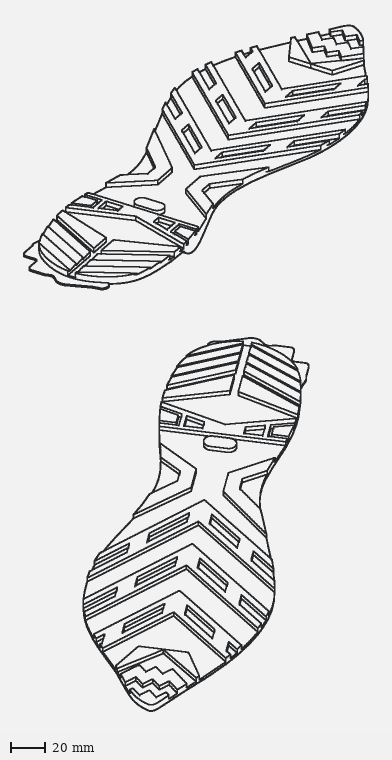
import cadquery as cq
import math

BASE_THICKNESS = 2.0
SOLE_THICKNESS = 5.0
FLASH_THICKNESS = 1.0
LUG_DEPTH = 7.5

REACH = 65.7

TOE_X = 0.3
TOE_Y = 164.3
HEEL_Y = -156.0
WIDTH = 110.0
HALF_WIDTH = WIDTH / 2
WIDEST_Y = 64.5
HALF_WAIST = 30.2
WAIST_Y = -34.5
HALF_HEEL = 40.0
HEEL_WIDEST_Y = -98.0

ZIGZAG_CENTER_X = 1.5
ZIGZAG_HALF_PITCH = 5.0
ZIGZAG_HEIGHT = 5.3
TIP_ZIGZAG_Y = 152.0
BAND_FRONT_Y = 142.2
BAND_REAR_Y = 131.5

TOE_PAD_REAR_Y = 115.5
TOE_PAD_HALF_REAR = 14.8
TOE_PAD_SIDE_RUN = 12.8
TOE_PAD_SIDE_RISE = 24.5
TOE_PAD_V_SLOPE = 0.89
TOE_PAD_WEB = 0.3

CHEVRON_APEXES_Y = (82.8, 41.5, 2.5)
CHEVRON_WIDTH = 19.0
LEFT_SLOPE = 0.915
RIGHT_SLOPE = 1.094
WINDOW_MARGIN = 5.5
WINDOW_NEAR_X = 6.5
WINDOW_FAR_X = 26.3
SIDE_WINDOW_X = 36.0

BAND_INNER_X = 9.5
BAND_OUTER_X = 18.5
BAND_INNER_Y = (-25.5, -42.0)
BAND_OUTER_Y = (-30.0, -38.5)
BAND_FRONT_SLOPE = 1.02
BAND_REAR_SLOPE = 0.735

BUTTON_Y = -67.5
BUTTON_LENGTH = 19.5
BUTTON_WIDTH = 9.2

STRAP_FRONT_Y = -74.5
STRAP_APEX_Y = -83.0
STRAP_SLOPE = 0.315
STRAP_FRONT_RIM = 3.0
STRAP_REAR_RIM = 4.0
STRAP_WINDOW_X = (12.0, 23.3)
STRAP_GROOVE_X = 26.3
STRAP_GROOVE_WIDTH = 2.0

HEEL_GROOVE_HALF = 2.45
HEEL_FRONT_Y = -113.5
HEEL_FRONT_SLOPE = 0.355
HEEL_FRONT_REAR_Y = -127.8
HEEL_SLOPE = 0.548
HEEL_STEP_Y = -132.0
STEP_SPACING = 8.0
STEP_COUNT = 3
STEP_DROP = 1.0

FLASH_REAR_Y = -164.3

LUG_INNER_X = 30.0
LUG_INNER_REAR_X = 39.5
LUG_FRONT_Y = -37.8
LUG_LOWEST_Y = -79.2
LUG_REAR_Y = -95.5


def outline():
    """Closed sole outline; the forefoot is slightly fuller on the right."""
    right = [
        (9.2, 158.5),
        (21.0, 140.5),
        (38.0, 116.5),
        (51.0, 93.0),
        (HALF_WIDTH, WIDEST_Y),
        (50.0, 33.5),
        (38.5, 4.0),
        (HALF_WAIST, WAIST_Y),
        (37.0, -73.3),
        (HALF_HEEL, HEEL_WIDEST_Y),
        (38.0, -120.2),
        (32.0, -139.5),
        (16.5, -152.0),
    ]
    left = [
        (-16.5, -152.0),
        (-32.0, -139.5),
        (-38.0, -120.2),
        (-HALF_HEEL, HEEL_WIDEST_Y),
        (-37.0, -73.3),
        (-HALF_WAIST, WAIST_Y),
        (-40.0, 4.0),
        (-50.0, 33.5),
        (-HALF_WIDTH, WIDEST_Y),
        (-49.0, 93.0),
        (-37.0, 116.5),
        (-20.5, 140.5),
        (-7.5, 158.5),
    ]
    points = [(TOE_X, TOE_Y)] + right + [(0, HEEL_Y)] + left
    return cq.Workplane("XY").spline(points, periodic=True).close()


def pad(points):
    """Raised tread block with the given plan shape, rising from the underside of the sole."""
    return cq.Workplane("XY").polyline(points).close().extrude(SOLE_THICKNESS)


def both_sides(block):
    """The block together with its mirror image across the length of the sole."""
    return block.union(block.mirror("YZ"))


def zigzag(valley_y, end_rise):
    """Zigzag line with three valleys whose outer arms climb by end_rise past the outline."""
    slope = ZIGZAG_HEIGHT / ZIGZAG_HALF_PITCH
    points = []
    for step in range(-2, 3):
        height = ZIGZAG_HEIGHT if step % 2 else 0
        points.append((ZIGZAG_CENTER_X + step * ZIGZAG_HALF_PITCH, valley_y + height))
    end_run = 2 * ZIGZAG_HALF_PITCH + end_rise / slope
    start = (ZIGZAG_CENTER_X - end_run, valley_y + end_rise)
    end = (ZIGZAG_CENTER_X + end_run, valley_y + end_rise)
    return [start] + points + [end]


def toe_tread():
    end_rise = 13.0
    tip = pad(zigzag(TIP_ZIGZAG_Y, end_rise))
    front = zigzag(BAND_FRONT_Y, end_rise)
    rear = zigzag(BAND_REAR_Y, end_rise)
    band = pad(front + rear[::-1])

    half_front = TOE_PAD_HALF_REAR + TOE_PAD_SIDE_RUN
    v_y = TOE_PAD_REAR_Y + TOE_PAD_WEB
    toe_pad = pad(
        [
            (-TOE_PAD_HALF_REAR, TOE_PAD_REAR_Y),
            (TOE_PAD_HALF_REAR, TOE_PAD_REAR_Y),
            (half_front, TOE_PAD_REAR_Y + TOE_PAD_SIDE_RISE),
            (half_front, v_y + half_front * TOE_PAD_V_SLOPE),
            (0, v_y),
            (-half_front, v_y + half_front * TOE_PAD_V_SLOPE),
            (-half_front, TOE_PAD_REAR_Y + TOE_PAD_SIDE_RISE),
        ]
    )
    return tip.union(band).union(toe_pad)


def chevron_rise(x):
    """Height of a chevron edge above its apex."""
    return x * RIGHT_SLOPE if x > 0 else -x * LEFT_SLOPE


def chevron_strip(front_y, rear_y, xs):
    """Strip between two chevron edges that follows the given x places."""
    front = [(x, front_y + chevron_rise(x)) for x in xs]
    rear = [(x, rear_y + chevron_rise(x)) for x in reversed(xs)]
    return pad(front + rear)


def chevron(apex_y):
    rear_y = apex_y - CHEVRON_WIDTH
    block = chevron_strip(apex_y, rear_y, (-REACH, 0, REACH))
    for near, far in ((WINDOW_NEAR_X, WINDOW_FAR_X), (SIDE_WINDOW_X, REACH)):
        for side in (-1, 1):
            span = (side * near, side * far)
            block = block.cut(chevron_strip(apex_y - WINDOW_MARGIN, rear_y + WINDOW_MARGIN, span))
    return block


def waist_bands():
    inner_run = REACH - BAND_INNER_X
    outer_run = REACH - BAND_OUTER_X
    band = pad(
        [
            (REACH, BAND_INNER_Y[0] + inner_run * BAND_FRONT_SLOPE),
            (BAND_INNER_X, BAND_INNER_Y[0]),
            (BAND_INNER_X, BAND_INNER_Y[1]),
            (REACH, BAND_INNER_Y[1] - inner_run * BAND_REAR_SLOPE),
            (REACH, BAND_OUTER_Y[1] - outer_run * BAND_REAR_SLOPE),
            (BAND_OUTER_X, BAND_OUTER_Y[1]),
            (BAND_OUTER_X, BAND_OUTER_Y[0]),
            (REACH, BAND_OUTER_Y[0] + outer_run * BAND_FRONT_SLOPE),
        ]
    )
    return both_sides(band)


def button():
    plan = cq.Workplane("XY").center(0, BUTTON_Y).slot2D(BUTTON_LENGTH, BUTTON_WIDTH)
    return plan.extrude(SOLE_THICKNESS)


def strap_block(near_x, far_x, front_y, apex_y):
    """Right-hand block with a straight front and a rear edge that slants back from the apex."""
    return pad(
        [
            (near_x, front_y),
            (far_x, front_y),
            (far_x, apex_y - far_x * STRAP_SLOPE),
            (near_x, apex_y - near_x * STRAP_SLOPE),
        ]
    )


def heel_strap():
    window_front = STRAP_FRONT_Y - STRAP_FRONT_RIM
    window_apex = STRAP_APEX_Y + STRAP_REAR_RIM
    half = strap_block(0, REACH, STRAP_FRONT_Y, STRAP_APEX_Y)
    half = half.cut(strap_block(*STRAP_WINDOW_X, window_front, window_apex))
    half = half.cut(strap_block(STRAP_GROOVE_X, REACH, window_front, window_apex))
    island = strap_block(
        STRAP_GROOVE_X + STRAP_GROOVE_WIDTH,
        REACH,
        window_front - STRAP_GROOVE_WIDTH,
        window_apex + STRAP_GROOVE_WIDTH,
    )
    return both_sides(half.union(island))


def heel_step_cut(step):
    """Wedge that slopes one strip of the heel down toward the rear, ending in a small riser."""
    angle = math.atan(HEEL_SLOPE)
    along = (math.cos(angle), math.sin(angle), 0)
    downhill = (math.sin(angle), -math.cos(angle), 0)
    width = STEP_SPACING * math.cos(angle)
    origin = (0, HEEL_STEP_Y - step * STEP_SPACING, SOLE_THICKNESS)
    plane = cq.Plane(origin=origin, xDir=downhill, normal=along)
    triangle = cq.Workplane(plane).polyline([(0, 0), (width, 0), (width, STEP_DROP)]).close()
    return triangle.extrude(REACH, both=True)


def heel_pads():
    near = HEEL_GROOVE_HALF
    front = pad(
        [
            (near, HEEL_FRONT_Y + near * HEEL_FRONT_SLOPE),
            (REACH, HEEL_FRONT_Y + REACH * HEEL_FRONT_SLOPE),
            (REACH, HEEL_FRONT_REAR_Y + REACH * HEEL_SLOPE),
            (near, HEEL_FRONT_REAR_Y + near * HEEL_SLOPE),
        ]
    )
    rear = pad(
        [
            (near, HEEL_STEP_Y + near * HEEL_SLOPE),
            (REACH, HEEL_STEP_Y + REACH * HEEL_SLOPE),
            (REACH, HEEL_Y - 3.3),
            (near, HEEL_Y - 3.3),
        ]
    )
    for step in range(STEP_COUNT):
        rear = rear.cut(heel_step_cut(step))
    return both_sides(front.union(rear))


def flash():
    """Thin ragged sheet that sticks out behind the heel at the underside."""
    return (
        cq.Workplane("XY")
        .moveTo(0, -131.5)
        .lineTo(-36.8, -126.8)
        .lineTo(-38.8, -134.7)
        .lineTo(-38.0, -137.3)
        .lineTo(-38.0, -146.0)
        .radiusArc((-35.5, -148.5), -2.5)
        .lineTo(-29.2, -148.5)
        .radiusArc((-27.3, -150.5), 2.0)
        .lineTo(-27.3, -157.7)
        .radiusArc((-24.5, -160.3), -2.5)
        .lineTo(-14.8, -160.3)
        .threePointArc((-12.0, -159.3), (-9.5, -160.0))
        .lineTo(-6.0, -163.3)
        .threePointArc((-2.0, FLASH_REAR_Y), (2.0, -163.3))
        .lineTo(15.5, -158.0)
        .lineTo(19.0, -157.5)
        .threePointArc((23.0, -154.5), (21.5, -149.8))
        .close()
        .extrude(FLASH_THICKNESS)
    )


def lug():
    """Lug below the right-hand edge: outer face flush with the outline, inner face curved."""
    profile = (
        cq.Workplane("YZ")
        .moveTo(LUG_FRONT_Y, BASE_THICKNESS)
        .lineTo(LUG_FRONT_Y, 0)
        .spline(
            [(-57.0, -3.3), (-69.0, -6.5), (LUG_LOWEST_Y, -LUG_DEPTH), (-88.0, -5.5), (LUG_REAR_Y, 0)],
            includeCurrent=True,
        )
        .lineTo(LUG_REAR_Y, BASE_THICKNESS)
        .close()
        .extrude(REACH)
    )
    floor = cq.Workplane("XY").workplane(offset=-2 * LUG_DEPTH)
    inner_side = (
        floor.moveTo(LUG_INNER_X, LUG_FRONT_Y)
        .spline([(30.2, -64.0), (32.5, -79.0), (LUG_INNER_REAR_X, LUG_REAR_Y)], includeCurrent=True)
        .lineTo(0, LUG_REAR_Y)
        .lineTo(0, LUG_FRONT_Y)
        .close()
        .extrude(4 * LUG_DEPTH)
    )
    footprint = outline().extrude(BASE_THICKNESS + 2 * LUG_DEPTH).translate((0, 0, -2 * LUG_DEPTH))
    return footprint.intersect(profile).cut(inner_side)


tread = toe_tread().union(waist_bands()).union(button()).union(heel_strap()).union(heel_pads())
for apex_y in CHEVRON_APEXES_Y:
    tread = tread.union(chevron(apex_y))

grooves = (
    cq.Workplane("XY")
    .workplane(offset=BASE_THICKNESS)
    .rect(4 * REACH, 4 * TOE_Y)
    .extrude(SOLE_THICKNESS)
    .cut(tread)
)
sole = outline().extrude(SOLE_THICKNESS).cut(grooves)
result = sole.union(flash()).union(lug())